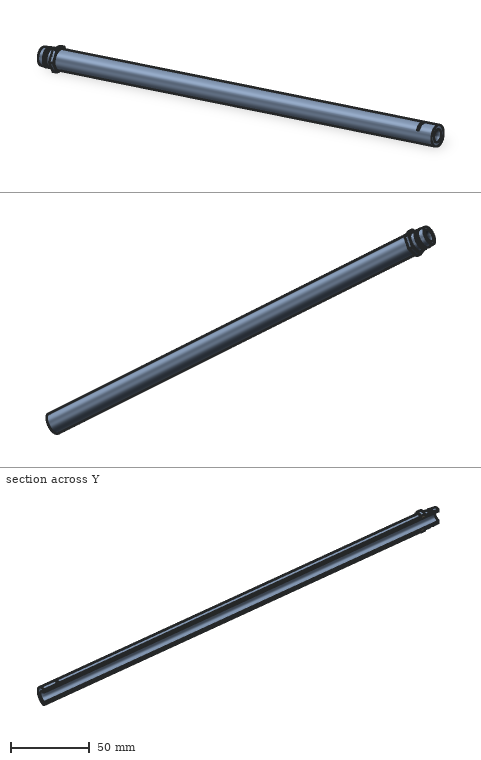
import cadquery as cq

LENGTH = 300.0
TUBE_DIAMETER = 14.0
BORE_DIAMETER = 8.5

NOSE_DIAMETER = 12.3
LIP_DIAMETER = 13.2
GROOVE_FLOOR_DIAMETER = 12.3
GROOVE_CENTER = 5.5
GROOVE_MOUTH_WIDTH = 2.55
GROOVE_FLOOR_WIDTH = 1.0

HEX_ACROSS_FLATS = 15.0
HEX_START = 10.2
HEX_WIDTH = 3.0
HEX_TURN = 30.0

SLOT_CENTER = 289.0
SLOT_WIDTH = 1.0
SLOT_DEPTH = 1.8
SLOT_ANGLE = 60.0


def spigot_and_tube():
    """Solid of revolution about X for the spigot and the tube."""
    mouth_start = GROOVE_CENTER - GROOVE_MOUTH_WIDTH / 2
    mouth_end = GROOVE_CENTER + GROOVE_MOUTH_WIDTH / 2
    floor_start = GROOVE_CENTER - GROOVE_FLOOR_WIDTH / 2
    floor_end = GROOVE_CENTER + GROOVE_FLOOR_WIDTH / 2
    half_profile = [
        (0, 0),
        (0, NOSE_DIAMETER / 2),
        (mouth_start, LIP_DIAMETER / 2),
        (floor_start, GROOVE_FLOOR_DIAMETER / 2),
        (floor_end, GROOVE_FLOOR_DIAMETER / 2),
        (mouth_end, LIP_DIAMETER / 2),
        (HEX_START, LIP_DIAMETER / 2),
        (HEX_START, TUBE_DIAMETER / 2),
        (LENGTH, TUBE_DIAMETER / 2),
        (LENGTH, 0),
    ]
    return cq.Workplane("XZ").polyline(half_profile).close().revolve(360, (0, 0), (1, 0))


def hex_collar():
    """Hexagonal collar with flats on top and bottom."""
    return (
        cq.Workplane("YZ")
        .workplane(offset=HEX_START)
        .polygon(6, HEX_ACROSS_FLATS, circumscribed=True)
        .extrude(HEX_WIDTH)
        .rotate((0, 0, 0), (1, 0, 0), HEX_TURN)
    )


def bore():
    """Round passage through the whole length."""
    return cq.Workplane("YZ").circle(BORE_DIAMETER / 2).extrude(LENGTH)


def arc_slot():
    """Ring sector that starts at the top of the tube and turns towards -Y."""
    tube_radius = TUBE_DIAMETER / 2
    section = (
        cq.Workplane("XZ")
        .center(SLOT_CENTER, tube_radius)
        .rect(SLOT_WIDTH, 2 * SLOT_DEPTH)
    )
    return section.revolve(SLOT_ANGLE, (0, -tube_radius), (1, -tube_radius))


result = spigot_and_tube().union(hex_collar()).cut(bore()).cut(arc_slot())